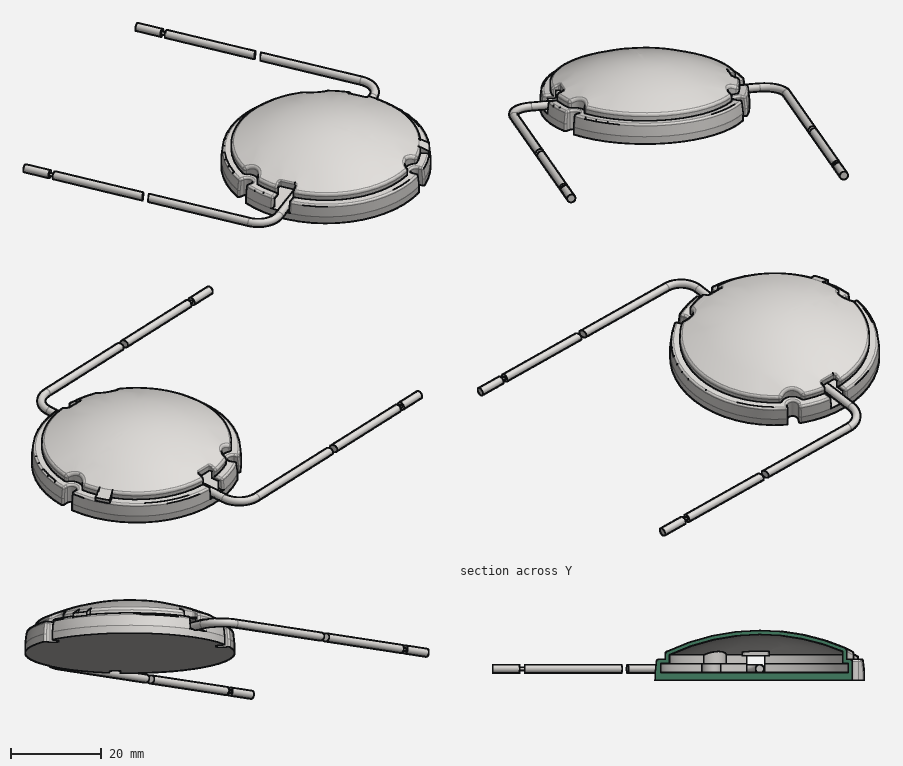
import cadquery as cq
import math

overall_length = 81.9
overall_width = 63.6
overall_height = 11.05

base_radius = 23.1
base_height = 1.8
shelf_radius = 22.8
shelf_height = 4.7
shelf_edge_fillet = 0.5
cap_radius = 20.9
cap_edge_height = 6.2
cap_edge_fillet = 0.8
wall_thickness = 1.0

bridge_start_angle = 18.3
bridge_end_angle = 26.7

slot_count = 3
slot_radius = 1.2
slot_centre_radius = 21.6
slot_relief_radius = 2.45
slot_mouth_fillet = 0.4

notch_left = -2.9
notch_right = 1.1
notch_back = 19.0
notch_corner_fillet = 0.3
notch_edge_fillet = 0.4
window_top = 5.4

lead_radius = 0.94
lead_embed = 0.205
lead_bend_radius = 5.0
lead_inner_end = 16.4
conductor_radius = 0.37
tip_length = 6.0
stripped_length = 1.1
break_start = 28.3
break_gap = 1.4
break_slant = 0.5

slot_mouth_half_width = slot_radius + slot_mouth_fillet
housing_right = math.sqrt(base_radius**2 - slot_mouth_half_width**2)
lead_tip_x = housing_right - overall_length
lead_y = overall_width / 2 - lead_radius
lead_z = base_height + lead_radius - lead_embed
break_centre_x = lead_tip_x + break_start + break_gap / 2
notch_width = notch_right - notch_left
notch_centre_x = (notch_left + notch_right) / 2
dome_rise = overall_height - cap_edge_height
dome_radius = (cap_radius**2 + dome_rise**2) / (2 * dome_rise)
dome_centre_z = overall_height - dome_radius

sides = (-1, 1)


def dome_height(radius, inset=0):
    """Height of the dome, or of a surface inset below it, at a distance from the axis."""
    return dome_centre_z + math.sqrt((dome_radius - inset) ** 2 - radius**2)


def domed_cylinder(radius, bottom, inset=0):
    """Cylinder from a bottom height up to the dome, or to a surface inset below it."""
    return (
        cq.Workplane("XZ")
        .moveTo(0, bottom)
        .lineTo(radius, bottom)
        .lineTo(radius, dome_height(radius, inset))
        .threePointArc((radius / 2, dome_height(radius / 2, inset)), (0, dome_height(0, inset)))
        .close()
        .revolve(360, (0, 0), (0, 1))
    )


def slot_cutters(radius, bottom=0):
    """U-shaped prisms, open outwards and equally spaced round the axis."""
    cutters = cq.Workplane()
    for i in range(slot_count):
        sketch = cq.Workplane(origin=(0, 0, bottom)).transformed(rotate=(0, 0, i * 360 / slot_count))
        rounded_end = sketch.center(slot_centre_radius, 0).circle(radius).extrude(overall_height)
        straight = (
            sketch.center(slot_centre_radius + base_radius / 2, 0)
            .rect(base_radius, 2 * radius)
            .extrude(overall_height)
        )
        cutters = cutters.add(rounded_end.union(straight))
    return cutters.combine()


def notch_blocks(bottom, offset=0):
    """Blocks that fill the two lead notches, grown by an offset on their inner sides."""
    back = notch_back - offset
    blocks = cq.Workplane()
    for side in sides:
        block = (
            cq.Workplane(origin=(notch_centre_x, side * (back + base_radius / 2), bottom))
            .rect(notch_width + 2 * offset, base_radius)
            .extrude(overall_height)
            .edges("|Z")
            .fillet(notch_corner_fillet)
        )
        blocks = blocks.add(block)
    return blocks.combine()


def is_rising(edge):
    """True for a straight edge that climbs the side of a body."""
    return edge.geomType() != "CIRCLE" and edge.BoundingBox().zlen > shelf_height / 5


def axis_distance(edge):
    """Distance of an edge's centre from the housing axis."""
    return math.hypot(edge.Center().x, edge.Center().y)


def beside_notch(edge):
    """True for an edge within the width of a lead notch and outside its back wall."""
    within_width = abs(edge.Center().x - notch_centre_x) < notch_width / 2 + 0.1
    return within_width and abs(edge.Center().y) > notch_back - 0.1


def fillet_where(body, condition, radius):
    """Round the edges of a body that meet a condition."""
    return body.newObject([edge for edge in body.edges().vals() if condition(edge)]).fillet(radius)


def make_rim():
    """Base rim and drafted wall with slots, notches and rounded edges."""

    def on_outer_wall(edge):
        return is_rising(edge) and axis_distance(edge) > shelf_radius - slot_mouth_fillet

    def on_notch_mouth(edge):
        return on_outer_wall(edge) and beside_notch(edge)

    rim = (
        cq.Workplane("XZ")
        .lineTo(base_radius, 0)
        .lineTo(base_radius, base_height)
        .lineTo(shelf_radius, shelf_height)
        .lineTo(0, shelf_height)
        .close()
        .revolve(360, (0, 0), (0, 1))
        .cut(slot_cutters(slot_radius))
    )
    rim = fillet_where(rim, on_outer_wall, slot_mouth_fillet)
    rim = rim.cut(notch_blocks(base_height))
    rim = fillet_where(rim, on_notch_mouth, notch_edge_fillet)
    return rim.faces(">Z").edges().fillet(shelf_edge_fillet)


def make_cap():
    """Domed cap with slot reliefs, notches and rounded edges."""

    def on_dome_rim_or_relief(edge):
        starts_at_rim = abs(edge.BoundingBox().zmin - cap_edge_height) < 0.1
        climbs_side = edge.geomType() == "LINE" and is_rising(edge)
        return starts_at_rim or climbs_side

    def on_notch_edge(edge):
        on_top = edge.BoundingBox().zmin > shelf_height
        on_mouth = is_rising(edge) and abs(edge.Center().y) > notch_back + notch_corner_fillet + 0.1
        return beside_notch(edge) and (on_top or on_mouth)

    cap = domed_cylinder(cap_radius, 0).cut(slot_cutters(slot_relief_radius))
    cap = fillet_where(cap, on_dome_rim_or_relief, cap_edge_fillet)
    cap = cap.cut(notch_blocks(base_height))
    return fillet_where(cap, on_notch_edge, notch_edge_fillet)


def make_bridge():
    """Sector of the dome that runs out to the outer wall."""
    reach = 2 * base_radius
    start = math.radians(bridge_start_angle)
    end = math.radians(bridge_end_angle)
    sector = (
        cq.Workplane()
        .lineTo(reach * math.cos(start), reach * math.sin(start))
        .lineTo(reach * math.cos(end), reach * math.sin(end))
        .close()
        .extrude(overall_height)
    )
    return domed_cylinder(shelf_radius, 0).intersect(sector)


def make_cavity():
    """Hollow above the base that leaves walls round the slots and over the notch windows."""
    ceiling = shelf_height - wall_thickness
    lower = (
        cq.Workplane(origin=(0, 0, base_height))
        .circle(shelf_radius - wall_thickness)
        .extrude(ceiling - base_height)
    )
    upper = domed_cylinder(cap_radius - wall_thickness, base_height, wall_thickness)
    return (
        lower.union(upper)
        .cut(slot_cutters(slot_radius + wall_thickness))
        .cut(slot_cutters(slot_relief_radius + wall_thickness, ceiling))
        .cut(notch_blocks(window_top, wall_thickness))
    )


def make_break_gap(side):
    """Slanted slab that parts the long arm of a lead."""
    gap_left = lead_tip_x + break_start
    gap_right = gap_left + break_gap
    lean = break_slant / 2
    low_y = side * lead_y - lead_radius
    high_y = side * lead_y + lead_radius
    return (
        cq.Workplane()
        .moveTo(gap_left + lean, low_y)
        .lineTo(gap_right + lean, low_y)
        .lineTo(gap_right - lean, high_y)
        .lineTo(gap_left - lean, high_y)
        .close()
        .extrude(overall_height)
    )


def make_fixed_lead(side):
    """Lead from inside the housing, out through a notch and round a bend to the break."""
    path = (
        cq.Workplane(origin=(0, 0, lead_z))
        .moveTo(0, side * lead_inner_end)
        .lineTo(0, side * (lead_y - lead_bend_radius))
        .radiusArc((-lead_bend_radius, side * lead_y), -side * lead_bend_radius)
        .lineTo(break_centre_x, side * lead_y)
    )
    lead = cq.Workplane("XZ", origin=(0, side * lead_inner_end, lead_z)).circle(lead_radius).sweep(path)
    return lead.cut(make_break_gap(side))


def make_housing():
    """Hollow housing with the two fixed leads set into its floor."""
    housing = make_rim().union(make_cap()).union(make_bridge()).cut(make_cavity())
    for side in sides:
        housing = housing.union(make_fixed_lead(side))
    return housing


def make_lead_end(side):
    """Loose end of a lead: insulated length, bare conductor and insulated tip."""

    def rod(start, end, radius):
        origin = (lead_tip_x + start, side * lead_y, lead_z)
        return cq.Workplane("YZ", origin=origin).circle(radius).extrude(end - start)

    sleeve_start = tip_length + stripped_length
    tip = rod(0, tip_length, lead_radius)
    conductor = rod(0, sleeve_start, conductor_radius)
    sleeve = rod(sleeve_start, break_start + break_gap / 2, lead_radius)
    return tip.union(conductor).union(sleeve).cut(make_break_gap(side))


housing = make_housing().solids().val()
lead_ends = [make_lead_end(side).val() for side in sides]
result = cq.Compound.makeCompound([housing, *lead_ends])